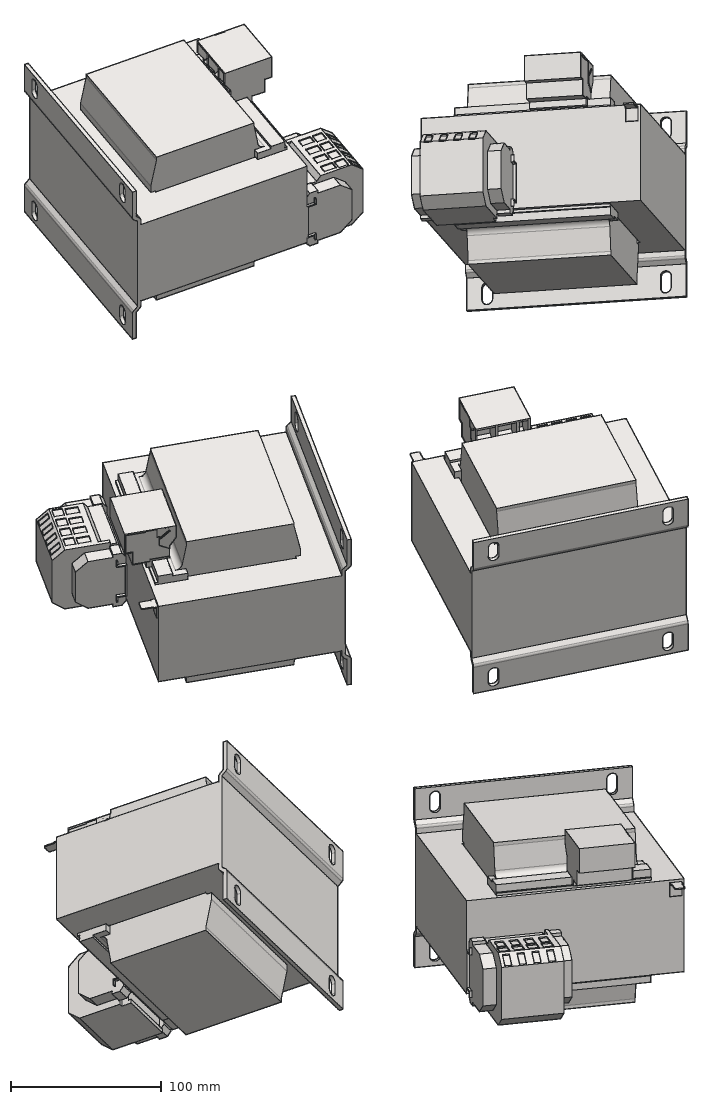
import cadquery as cq


WIDTH = 150.0
CORE_FRONT = 6.5
CORE_BACK = 132.1
CORE_HALF_HEIGHT = 33.2
WINDOW_WIDTH = 100.5
WINDOW_FRONT = 31.4
WINDOW_BACK = 106.5

SHEET = 2.9
PLATE_HALF_HEIGHT = 63.9
WEB_HALF_HEIGHT = 36.8
FOOT_START = 40.5
BEND_RISE = 1.3
BEND_RADIUS = 2.7
WEB_FRONT = CORE_FRONT - 2.5
SLOT_LENGTH = 15.2
SLOT_WIDTH = 7.4
SLOT_SPACING_X = 122.0
SLOT_SPACING_Z = 106.1

COIL_WIDTH = 97.5
COIL_OFFSET = 0.4
COIL_HALF_HEIGHT = 62.1
COIL_RIM = 2.5
COIL_FRONT = 28.0
COIL_TOP_FRONT = 32.3
COIL_TOP_BACK = 106.1
COIL_BEND_Y = 109.0
COIL_BEND_Z = 43.1
COIL_FOOT_Y = 114.0
COIL_ROUND_BOW = 1.5

FLANGE_WIDTH = 106.7
FLANGE_HALF_HEIGHT = 38.6
FLANGE_STEP_HALF_HEIGHT = 40.5
FLANGE_STEP_FRONT = 116.8
FLANGE_STEP_BACK = 127.0
FLANGE_LIP_BACK = 128.9
FLANGE_LIP_HALF_HEIGHT = 35.0

TAB_CENTER_X = -69.1
TAB_WIDTH = 6.9
TAB_BASE_WIDTH = 8.3
TAB_THICKNESS = 0.9
TAB_TOP = 31.4
TAB_LEG_HEIGHT = 9.7
TAB_SHOULDER_Y = 135.0
TAB_END_Y = 143.3
TAB_CORNER = 1.0

TOP_BLOCK_LEFT = -37.4
TOP_BLOCK_RIGHT = 1.0
TOP_BLOCK_TOP = 67.9
TOP_BLOCK_BOTTOM = 39.5
TOP_BLOCK_FRONT = 110.3
TOP_BLOCK_NECK = 114.8
TOP_BLOCK_BACK = 145.8
TOP_BLOCK_HEEL = 140.5
TOP_BLOCK_HEEL_Z = 50.4
TOP_BLOCK_NECK_Z = 50.9
TOP_BLOCK_CHIN_Z = 57.8
MOUTH_COUNT = 3
MOUTH_PITCH = 14.8
MOUTH_WALL = 0.9
MOUTH_TOP = TOP_BLOCK_TOP - 1.5
MOUTH_BACK = 121.8
MOUTH_FLOOR_BACK = 52.7
MOUTH_FLOOR_FRONT = 48.5
SIDE_RECESS = 0.4
RIB_FOOT_FRONT = 127.0
RIB_FOOT_BACK = 130.9
RIB_FOOT_BOTTOM = 35.4

SIDE_PANEL_OUTLINE = [
    (TOP_BLOCK_NECK, 41.9),
    (128.3, 41.9),
    (128.3, 40.0),
    (139.9, 40.0),
    (139.9, 50.9),
    (145.0, 50.9),
    (145.0, 66.5),
    (131.4, 66.5),
    (131.4, 67.1),
    (123.6, 67.1),
    (123.6, 60.5),
    (MOUTH_BACK, 60.5),
]
SIDE_GROOVE_OUTLINE = [(121.8, 59.2), (115.2, 64.8), (114.5, 64.0), (121.1, 58.5)]

RAIL_LEFT = 10.0
RAIL_RIGHT = WIDTH / 2
RAIL_SHEET = 0.9
RAIL_DEPTH = 7.0
RAIL_HALF_HEIGHT = 17.7
RAIL_CHANNEL_HALF_HEIGHT = 12.8
REAR_CENTER_Z = -15.7

STOP_WIDTH = 9.2
STOP_BACK = 167.0
STOP_HALF_HEIGHT = 20.5
STOP_HEAD_HALF_HEIGHT = 23.0
STOP_CHAMFER_Y = 8.7
STOP_CHAMFER_Z = 7.4
STOP_HEAD_BACK = 141.2
STOP_HEAD_FRONT = 135.0
STOP_NOSE_HALF_HEIGHT = 19.3

TERMINAL_COUNT = 4
TERMINAL_PITCH = 10.1
END_PLATE_LEFT = 21.1
END_PLATE_WIDTH = 2.5
TERMINAL_BACK = 180.5
TERMINAL_HALF_HEIGHT = 26.0
TERMINAL_CHAMFER_Y = 8.7
TERMINAL_CHAMFER_Z = 7.4
END_PLATE_FRONT = 140.6
NOTCH_BACK = 148.4
NOTCH_FRONT = 145.3
NOTCH_FLOOR_Z = 6.5
TERMINAL_FRONT = 135.5
TERMINAL_CLIP_FRONT = 133.4
TERMINAL_CLIP_HEIGHT = 3.0
PORT_DEPTH = 0.9
PORT_INSET = 1.6
WIRE_PORT_WIDTH = 7.0
WIRE_PORT_FRONT = 163.2
WIRE_PORT_BACK = 170.2
DRIVER_PORT_WIDTH = 6.0
DRIVER_PORT_FRONT = 152.7
DRIVER_PORT_BACK = 161.5
LABEL_PORT_INSET = 2.9
LABEL_PORT_WIDTH = 4.7
LABEL_PORT_FRONT = 173.3
LABEL_PORT_BACK = 179.8


def box(x0, x1, y0, y1, z0, z1):
    return cq.Workplane("XY").box(x1 - x0, y1 - y0, z1 - z0, centered=False).translate((x0, y0, z0))


def slab(outline, x0, x1):
    """Extrude a closed (y, z) outline from x0 to x1."""
    return cq.Workplane("YZ").workplane(offset=x0).polyline(outline).close().extrude(x1 - x0)


def mirrored(points, center_z=0.0):
    """Close an upper (y, z) half outline with its reflection about center_z."""
    return points + [(y, 2 * center_z - z) for y, z in reversed(points)]


def make_core():
    half = WIDTH / 2
    core = box(-half, half, CORE_FRONT, CORE_BACK, -CORE_HALF_HEIGHT, CORE_HALF_HEIGHT)
    window = box(
        -WINDOW_WIDTH / 2, WINDOW_WIDTH / 2, WINDOW_FRONT, WINDOW_BACK, -CORE_HALF_HEIGHT, CORE_HALF_HEIGHT
    )
    return core.cut(window)


def make_plate():
    front = [(WEB_FRONT, WEB_HALF_HEIGHT), (0, FOOT_START), (0, PLATE_HALF_HEIGHT)]
    back = [
        (SHEET, PLATE_HALF_HEIGHT),
        (SHEET, FOOT_START + BEND_RISE),
        (CORE_FRONT, WEB_HALF_HEIGHT + BEND_RISE),
    ]
    lower_front = [(y, -z) for y, z in reversed(front)]
    lower_back = [(y, -z) for y, z in reversed(back)]
    plate = slab(front + back + lower_back + lower_front, -WIDTH / 2, WIDTH / 2)

    for side in (1, -1):
        for y, z in (front[1], back[2]):
            plate = plate.edges(cq.NearestToPointSelector((0, y, side * z))).fillet(BEND_RADIUS)
    slots = (
        cq.Workplane("XZ")
        .rarray(SLOT_SPACING_X, SLOT_SPACING_Z, 2, 2)
        .slot2D(SLOT_LENGTH, SLOT_WIDTH, 90)
        .extrude(-SHEET)
    )
    return plate.cut(slots)


def make_coil():
    round_mid = (COIL_BEND_Y + COIL_ROUND_BOW, FLANGE_HALF_HEIGHT + COIL_ROUND_BOW)
    upper = (
        cq.Workplane("YZ")
        .workplane(offset=COIL_OFFSET - COIL_WIDTH / 2)
        .moveTo(COIL_FRONT, 0)
        .lineTo(COIL_FRONT, FLANGE_HALF_HEIGHT)
        .lineTo(COIL_TOP_FRONT, COIL_HALF_HEIGHT - COIL_RIM)
        .lineTo(COIL_TOP_FRONT, COIL_HALF_HEIGHT)
        .lineTo(COIL_TOP_BACK, COIL_HALF_HEIGHT)
        .lineTo(COIL_TOP_BACK, COIL_HALF_HEIGHT - COIL_RIM)
        .lineTo(COIL_BEND_Y, COIL_BEND_Z)
        .threePointArc(round_mid, (COIL_FOOT_Y, FLANGE_HALF_HEIGHT))
        .lineTo(COIL_FOOT_Y, 0)
        .close()
        .extrude(COIL_WIDTH)
    )
    return upper.union(upper.mirror("XY"))


def make_flange():
    outline = [
        (WINDOW_BACK, FLANGE_HALF_HEIGHT),
        (FLANGE_STEP_FRONT, FLANGE_HALF_HEIGHT),
        (FLANGE_STEP_FRONT, FLANGE_STEP_HALF_HEIGHT),
        (FLANGE_STEP_BACK, FLANGE_STEP_HALF_HEIGHT),
        (FLANGE_STEP_BACK, FLANGE_LIP_HALF_HEIGHT),
        (FLANGE_LIP_BACK, FLANGE_LIP_HALF_HEIGHT),
    ]
    return slab(mirrored(outline), -FLANGE_WIDTH / 2, FLANGE_WIDTH / 2)


def make_earth_tab():
    half_base = TAB_BASE_WIDTH / 2
    left = TAB_CENTER_X - half_base
    right = TAB_CENTER_X + half_base
    leg_bottom = TAB_TOP - TAB_LEG_HEIGHT
    leg = box(left, right, CORE_BACK, CORE_BACK + TAB_THICKNESS, leg_bottom, TAB_TOP)
    base = box(left, right, CORE_BACK, TAB_SHOULDER_Y, TAB_TOP - TAB_THICKNESS, TAB_TOP)
    half = TAB_WIDTH / 2
    blade = box(
        TAB_CENTER_X - half, TAB_CENTER_X + half, CORE_BACK, TAB_END_Y, TAB_TOP - TAB_THICKNESS, TAB_TOP
    )
    blade = blade.edges("|Z and >Y").fillet(TAB_CORNER)
    return leg.union(base).union(blade)


def make_top_block():
    outline = [
        (TOP_BLOCK_FRONT, TOP_BLOCK_TOP),
        (TOP_BLOCK_BACK, TOP_BLOCK_TOP),
        (TOP_BLOCK_BACK, TOP_BLOCK_HEEL_Z),
        (TOP_BLOCK_HEEL, TOP_BLOCK_HEEL_Z),
        (TOP_BLOCK_HEEL, TOP_BLOCK_BOTTOM),
        (TOP_BLOCK_NECK, FLANGE_STEP_HALF_HEIGHT),
        (TOP_BLOCK_NECK, TOP_BLOCK_NECK_Z),
        (TOP_BLOCK_FRONT, TOP_BLOCK_CHIN_Z),
    ]
    block = slab(outline, TOP_BLOCK_LEFT, TOP_BLOCK_RIGHT)
    rib_foot = box(
        TOP_BLOCK_LEFT,
        TOP_BLOCK_RIGHT,
        RIB_FOOT_FRONT,
        RIB_FOOT_BACK,
        RIB_FOOT_BOTTOM,
        FLANGE_STEP_HALF_HEIGHT,
    )
    block = block.union(rib_foot)

    mouth = [
        (MOUTH_BACK, MOUTH_TOP),
        (MOUTH_BACK, MOUTH_FLOOR_BACK),
        (TOP_BLOCK_NECK, MOUTH_FLOOR_FRONT),
        (TOP_BLOCK_FRONT, MOUTH_FLOOR_FRONT),
        (TOP_BLOCK_FRONT, MOUTH_TOP),
    ]
    for index in range(MOUTH_COUNT):
        left = TOP_BLOCK_LEFT + index * MOUTH_PITCH + MOUTH_WALL
        right = min(left + MOUTH_PITCH - 2 * MOUTH_WALL, TOP_BLOCK_RIGHT - 2 * MOUTH_WALL)
        block = block.cut(slab(mouth, left, right))

    side_panel = SIDE_PANEL_OUTLINE + [(MOUTH_BACK, MOUTH_FLOOR_BACK), (TOP_BLOCK_NECK, MOUTH_FLOOR_FRONT)]
    block = block.cut(slab(side_panel, TOP_BLOCK_LEFT, TOP_BLOCK_LEFT + SIDE_RECESS))

    return block.cut(slab(SIDE_GROOVE_OUTLINE, TOP_BLOCK_LEFT, TOP_BLOCK_LEFT + SIDE_RECESS))


def make_rail():
    rail_back = CORE_BACK + RAIL_DEPTH
    rail = box(
        RAIL_LEFT,
        RAIL_RIGHT,
        CORE_BACK,
        rail_back,
        REAR_CENTER_Z - RAIL_CHANNEL_HALF_HEIGHT - RAIL_SHEET,
        REAR_CENTER_Z + RAIL_CHANNEL_HALF_HEIGHT + RAIL_SHEET,
    )
    channel = box(
        RAIL_LEFT,
        RAIL_RIGHT,
        CORE_BACK + RAIL_SHEET,
        rail_back,
        REAR_CENTER_Z - RAIL_CHANNEL_HALF_HEIGHT,
        REAR_CENTER_Z + RAIL_CHANNEL_HALF_HEIGHT,
    )
    lips = box(
        RAIL_LEFT,
        RAIL_RIGHT,
        rail_back - RAIL_SHEET,
        rail_back,
        REAR_CENTER_Z - RAIL_HALF_HEIGHT,
        REAR_CENTER_Z + RAIL_HALF_HEIGHT,
    )
    return rail.union(lips).cut(channel)


def make_end_stop(left):
    outline = [
        (CORE_BACK, REAR_CENTER_Z + STOP_NOSE_HALF_HEIGHT),
        (STOP_HEAD_FRONT, REAR_CENTER_Z + STOP_HEAD_HALF_HEIGHT),
        (STOP_HEAD_BACK, REAR_CENTER_Z + STOP_HEAD_HALF_HEIGHT),
        (STOP_HEAD_BACK, REAR_CENTER_Z + STOP_HALF_HEIGHT),
        (STOP_BACK - STOP_CHAMFER_Y, REAR_CENTER_Z + STOP_HALF_HEIGHT),
        (STOP_BACK, REAR_CENTER_Z + STOP_HALF_HEIGHT - STOP_CHAMFER_Z),
    ]
    return slab(mirrored(outline, REAR_CENTER_Z), left, left + STOP_WIDTH)


def make_rear_terminals():
    top = REAR_CENTER_Z + TERMINAL_HALF_HEIGHT
    bottom = REAR_CENTER_Z - TERMINAL_HALF_HEIGHT
    head = [
        (TERMINAL_BACK - TERMINAL_CHAMFER_Y, top),
        (TERMINAL_BACK, top - TERMINAL_CHAMFER_Z),
        (TERMINAL_BACK, bottom + TERMINAL_CHAMFER_Z),
        (TERMINAL_BACK - TERMINAL_CHAMFER_Y, bottom),
    ]
    end_plate_outline = [(END_PLATE_FRONT, top)] + head + [(END_PLATE_FRONT, bottom)]
    clip_top = bottom + TERMINAL_CLIP_HEIGHT
    terminal_outline = (
        [(NOTCH_BACK, top)]
        + head
        + [
            (TERMINAL_CLIP_FRONT, bottom),
            (TERMINAL_CLIP_FRONT, clip_top),
            (TERMINAL_FRONT, clip_top),
            (TERMINAL_FRONT, NOTCH_FLOOR_Z),
            (NOTCH_FRONT, NOTCH_FLOOR_Z),
        ]
    )
    first = END_PLATE_LEFT + END_PLATE_WIDTH
    block = slab(end_plate_outline, END_PLATE_LEFT, first)
    block = block.union(slab(terminal_outline, first, first + TERMINAL_COUNT * TERMINAL_PITCH))

    def chamfer_z(y):
        return top - (y - TERMINAL_BACK + TERMINAL_CHAMFER_Y) * TERMINAL_CHAMFER_Z / TERMINAL_CHAMFER_Y

    label_port = [
        (LABEL_PORT_FRONT, top),
        (LABEL_PORT_FRONT, chamfer_z(LABEL_PORT_FRONT) - PORT_DEPTH),
        (LABEL_PORT_BACK, chamfer_z(LABEL_PORT_BACK) - PORT_DEPTH),
        (LABEL_PORT_BACK, top),
    ]
    flat_ports = [
        (WIRE_PORT_WIDTH, WIRE_PORT_FRONT, WIRE_PORT_BACK),
        (DRIVER_PORT_WIDTH, DRIVER_PORT_FRONT, DRIVER_PORT_BACK),
    ]
    for index in range(TERMINAL_COUNT):
        left = first + index * TERMINAL_PITCH
        port_left = left + PORT_INSET
        for width, front, back in flat_ports:
            block = block.cut(box(port_left, port_left + width, front, back, top - PORT_DEPTH, top))
        label_left = left + LABEL_PORT_INSET
        block = block.cut(slab(label_port, label_left, label_left + LABEL_PORT_WIDTH))
    return block


terminals_right = END_PLATE_LEFT + END_PLATE_WIDTH + TERMINAL_COUNT * TERMINAL_PITCH

result = (
    make_core()
    .union(make_plate())
    .union(make_coil())
    .union(make_flange())
    .union(make_earth_tab())
    .union(make_top_block())
    .union(make_rail())
    .union(make_end_stop(END_PLATE_LEFT - STOP_WIDTH))
    .union(make_end_stop(terminals_right))
    .union(make_rear_terminals())
)